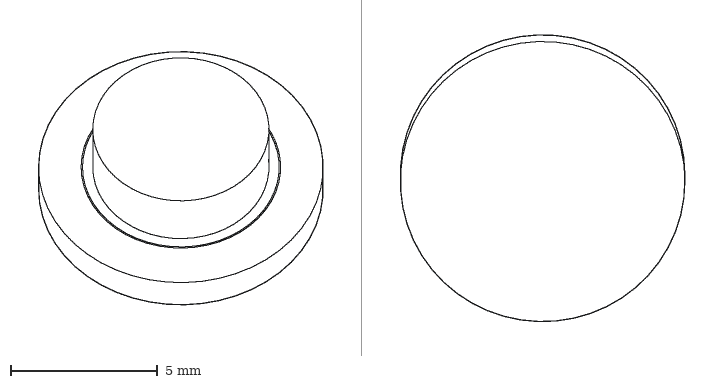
import cadquery as cq

total_height = 3.5
flange_height = 1.3
inlay_depth = flange_height / 2

flange_diameter = 9.7
inlay_outer_diameter = 6.8
inlay_inner_diameter = 6.7
head_diameter = 6.0


def make_inlay_ring():
    """Thin ring whose top is flush with the top of the flange."""
    return (
        cq.Workplane("XY")
        .workplane(offset=flange_height - inlay_depth)
        .circle(inlay_outer_diameter / 2)
        .circle(inlay_inner_diameter / 2)
        .extrude(inlay_depth)
    )


def make_button(inlay):
    """Round flange with a raised head and a groove that the inlay ring fills."""
    flange = cq.Workplane("XY").circle(flange_diameter / 2).extrude(flange_height)
    head = cq.Workplane("XY").circle(head_diameter / 2).extrude(total_height)
    return flange.union(head).cut(inlay).solids()


inlay_ring = make_inlay_ring()
button = make_button(inlay_ring)

result = cq.Compound.makeCompound([button.val(), inlay_ring.val()])